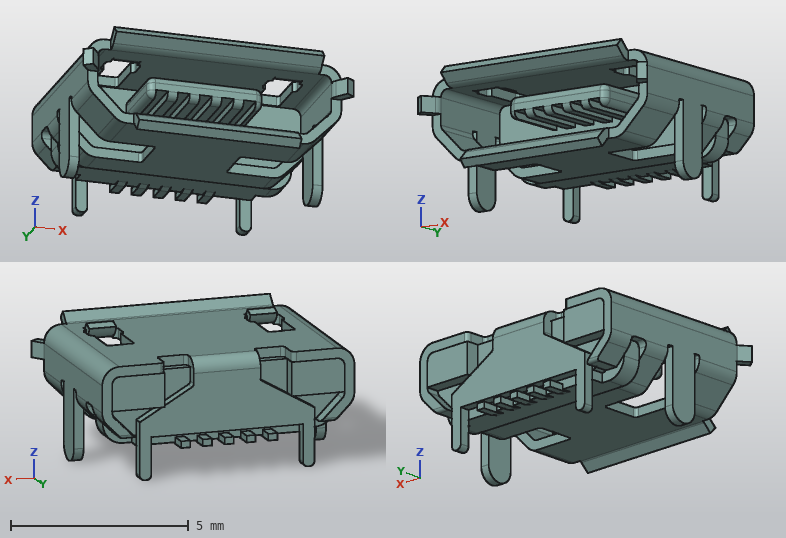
import cadquery as cq
import math


OVERSHOOT = 0.4

overall_width = 8.0
shell_width = 7.5
shell_height = 2.45
shell_depth = 5.07
sheet = 0.3
bend_radius = 0.51
inner_bend_radius = bend_radius - sheet
slant_start = 0.93

half_slant = math.radians(45 / 2)
half_width = shell_width / 2
half_cavity = half_width - sheet
ceiling = shell_height - sheet
inner_slant_start = slant_start + sheet * math.tan(half_slant)
side_wall_foot = slant_start + bend_radius * math.tan(half_slant)

lip_angle = 44.0
lip_inner_radius = 0.08
lip_length = 0.37
top_lip_width = 6.15
bottom_lip_width = 4.8
ear_angle = 36.0
ear_inner_radius = 0.02
ear_height = 0.48
ear_top = shell_height - bend_radius

window_center_x = 2.39
window_width = 0.8
window_front = 0.62
window_back = 2.72
window_corner = 0.08
relief_width = 1.02
relief_front = 0.9
relief_back = 1.52
relief_corner = 0.11
latch_angle = 72.0
latch_inner_radius = 0.26
latch_length = 0.02

leg_front = 1.7
leg_width = 0.9
leg_bottom = -0.94
leg_gap = 0.19
leg_slot_top = 1.24
leg_slot_inner_x = 1.25
leg_slot_corner = 0.06
floor_slot_corner = 0.1

leg_center_y = leg_front + leg_width / 2
leg_slot_front = leg_front - leg_gap
leg_slot_back = leg_front + leg_width + leg_gap

cover_back = 4.97
cover_thickness = 0.32
cover_bend_radius = 0.4
notch_inner_x = 0.99
notch_outer_x = 1.89
notch_front = 4.37
notch_corner = 0.1
notch_mouth_radius = 0.13
shoulder_height = 1.68
shoulder_angle = 30.0
shoulder_fillet = 0.11
peg_center_x = 2.42
peg_width = 0.34
peg_corner = 0.15

cover_front = cover_back - cover_thickness
cover_bend_start = cover_back - cover_bend_radius
cover_half_width = peg_center_x + peg_width / 2

lug_front = 3.65
lug_back = 4.26
lug_corner = 0.16
lug_bottom_radius = 0.6
rear_trim_height = 0.34
rear_trim_corner = 0.11

block_front = leg_slot_back
tongue_width = 3.41
tongue_front = 0.8
tongue_bottom = 1.22
tongue_top = 1.86
tongue_rounding = 0.21
contact_count = 5
contact_pitch = 0.65
groove_width = 0.35
tail_width = 0.27
tail_back = 5.15
tail_top = 0.15
tail_bottom = -0.05
tail_ramp_start = 4.37
tail_ramp_end = 4.58

contact_centers = [(number - (contact_count - 1) / 2) * contact_pitch for number in range(contact_count)]


def box(x_min, x_max, y_min, y_max, z_min, z_max):
    size = (x_max - x_min, y_max - y_min, z_max - z_min)
    return cq.Workplane("XY").box(*size, centered=False).translate((x_min, y_min, z_min))


def both_sides(right_part):
    """The given part together with its mirror image across the middle plane."""
    return right_part.union(right_part.mirror("YZ"))


def tube_section(half_span, floor, top, slant_z, radius, y_start, y_end):
    """Solid with the socket outline: a box whose lower corners are cut at 45 degrees."""
    slant = slant_z - floor
    points = [
        (-half_span, top),
        (half_span, top),
        (half_span, slant_z),
        (half_span - slant, floor),
        (-half_span + slant, floor),
        (-half_span, slant_z),
    ]
    body = cq.Workplane("XZ", origin=(0, y_start, 0)).polyline(points).close().extrude(y_start - y_end)
    return body.edges("|Y").fillet(radius)


def cavity(y_start, y_end):
    return tube_section(half_cavity, sheet, ceiling, inner_slant_start, inner_bend_radius, y_start, y_end)


def bent_strip(angle, inner_radius, straight, width):
    """Sheet strip that leaves the origin along local +X, curls towards +Y and ends straight.

    The concave face starts at the origin, and the width is centred on the local XY plane.
    """
    outer_radius = inner_radius + sheet

    def on_arc(radius, degrees):
        turn = math.radians(degrees)
        return (radius * math.sin(turn), inner_radius - radius * math.cos(turn))

    def run_on(point):
        turn = math.radians(angle)
        return (point[0] + straight * math.cos(turn), point[1] + straight * math.sin(turn))

    inner_end = on_arc(inner_radius, angle)
    outer_end = on_arc(outer_radius, angle)
    return (
        cq.Workplane("XY")
        .threePointArc(on_arc(inner_radius, angle / 2), inner_end)
        .lineTo(*run_on(inner_end))
        .lineTo(*run_on(outer_end))
        .lineTo(*outer_end)
        .threePointArc(on_arc(outer_radius, angle / 2), (0, -sheet))
        .close()
        .extrude(width / 2, both=True)
    )


def placed(strip, origin, run_direction, width_direction):
    """Move a bent strip so that it runs along one axis with its width along another."""
    return cq.Workplane(strip.val().located(cq.Plane(origin, run_direction, width_direction).location))


def roof_lip():
    strip = bent_strip(lip_angle, lip_inner_radius, lip_length, top_lip_width)
    return placed(strip, (0, 0, shell_height), (0, -1, 0), (-1, 0, 0))


def floor_lip():
    strip = bent_strip(lip_angle, lip_inner_radius, lip_length, bottom_lip_width)
    return placed(strip, (0, 0, 0), (0, -1, 0), (1, 0, 0))


def ears():
    turn = math.radians(ear_angle)
    reach = overall_width / 2 - half_width - ear_inner_radius * (1 - math.cos(turn))
    strip = bent_strip(ear_angle, ear_inner_radius, reach / math.sin(turn), ear_height)
    return both_sides(placed(strip, (half_width, 0, ear_top - ear_height / 2), (0, -1, 0), (0, 0, 1)))


def roof_windows():
    window = box(
        window_center_x - window_width / 2, window_center_x + window_width / 2,
        window_front, window_back, ceiling, shell_height + OVERSHOOT,
    ).edges("|Z and >Y").fillet(window_corner)
    relief = box(
        window_center_x - relief_width / 2, window_center_x + relief_width / 2,
        relief_front, relief_back, ceiling, shell_height + OVERSHOOT,
    ).edges("|Z").fillet(relief_corner)
    return both_sides(window.union(relief))


def latches():
    strip = bent_strip(latch_angle, latch_inner_radius, latch_length, window_width)
    return both_sides(placed(strip, (window_center_x, window_front, shell_height), (0, 1, 0), (1, 0, 0)))


def leg_slots():
    """Gaps either side of each leg, running on into the floor strip the leg was folded from."""
    wall_slot = box(
        half_cavity - inner_bend_radius, half_width + OVERSHOOT,
        leg_slot_front, leg_slot_back, -OVERSHOOT, leg_slot_top,
    ).edges("|X and >Z").fillet(leg_slot_corner)
    floor_slot = box(
        leg_slot_inner_x, half_width + OVERSHOOT,
        leg_slot_front, leg_slot_back, -OVERSHOOT, side_wall_foot,
    ).edges("|Z and <X").fillet(floor_slot_corner)
    return both_sides(wall_slot.union(floor_slot))


def legs():
    leg = box(
        half_cavity, half_width, leg_front, leg_front + leg_width,
        leg_bottom + leg_width / 2, leg_slot_top,
    )
    foot = (
        cq.Workplane("YZ", origin=(half_cavity, leg_center_y, leg_bottom + leg_width / 2))
        .circle(leg_width / 2)
        .extrude(sheet)
    )
    return both_sides(leg.union(foot))


def roof_notches():
    """Rear notches that free the middle of the roof, which folds down as the back cover."""
    notch = box(
        notch_inner_x, notch_outer_x, notch_front, shell_depth + OVERSHOOT,
        ceiling, shell_height + OVERSHOOT,
    ).edges("|Z and <Y").fillet(notch_corner)
    fold_space = box(
        0, notch_outer_x, cover_bend_start, shell_depth + OVERSHOOT, ceiling, shell_height + OVERSHOOT,
    )
    return both_sides(notch.union(fold_space))


def shoulder_z(x):
    """Height of the cover's sloping shoulder at a distance x from the middle plane."""
    return shoulder_height - (x - notch_inner_x) * math.tan(math.radians(shoulder_angle))


def back_cover():
    """Plate closing the back, folded down from the middle of the roof and ending in two pegs."""
    half_plate = (
        cq.Workplane("XZ", origin=(0, cover_front, 0))
        .polyline([
            (0, sheet),
            (cover_half_width, sheet),
            (cover_half_width, shoulder_z(cover_half_width)),
            (notch_inner_x, shoulder_height),
            (notch_inner_x, shell_height),
            (0, shell_height),
        ])
        .close()
        .extrude(-cover_thickness)
    )
    shoulder_corner = cq.selectors.NearestToPointSelector(
        (notch_inner_x, cover_front + cover_thickness / 2, shoulder_height)
    )
    half_plate = half_plate.edges(shoulder_corner).fillet(shoulder_fillet)
    roof_strip = box(0, notch_inner_x, notch_front + notch_corner, cover_back, ceiling, shell_height)
    peg = box(
        peg_center_x - peg_width / 2, peg_center_x + peg_width / 2,
        cover_front, cover_back, leg_bottom, sheet,
    ).edges("|Y and <Z").fillet(peg_corner)
    cover = both_sides(half_plate.union(roof_strip).union(peg)).clean()
    return cover.edges("|X and >Y and >Z").fillet(cover_bend_radius)


def lug_window():
    """Opening across the lower shell that the insulator's side lugs fill."""
    window = box(-half_width, half_width, lug_front, lug_back, -OVERSHOOT, side_wall_foot)
    return window.edges("|X and >Z").fillet(lug_corner)


def rear_trim():
    """Removes the floor behind the lugs and rounds the lower rear corner of the side walls."""
    end = shell_depth + OVERSHOOT
    arc_dip = rear_trim_corner * (1 - math.sqrt(0.5))
    return (
        cq.Workplane("YZ", origin=(-half_width, 0, 0))
        .moveTo(lug_back, -OVERSHOOT)
        .lineTo(lug_back, rear_trim_height)
        .lineTo(shell_depth - rear_trim_corner, rear_trim_height)
        .threePointArc(
            (shell_depth - arc_dip, rear_trim_height + arc_dip),
            (shell_depth, rear_trim_height + rear_trim_corner),
        )
        .lineTo(end, rear_trim_height + rear_trim_corner)
        .lineTo(end, -OVERSHOOT)
        .close()
        .extrude(shell_width)
    )


def make_shell():
    tube = tube_section(half_width, 0, shell_height, slant_start, bend_radius, 0, shell_depth)
    tube = tube.cut(cavity(0, shell_depth)).cut(roof_notches())
    notch_mouth = cq.selectors.BoxSelector(
        (-half_cavity, notch_front + notch_corner, ceiling),
        (half_cavity, shell_depth + OVERSHOOT, shell_height),
    )
    tube = tube.edges(notch_mouth).edges("|Z and >Y").fillet(notch_mouth_radius)
    tube = tube.cut(lug_window()).cut(rear_trim()).cut(leg_slots()).cut(roof_windows())
    for piece in (roof_lip(), floor_lip(), ears(), latches(), legs(), back_cover()):
        tube = tube.union(piece)
    return tube


def tongue():
    blade = box(
        -tongue_width / 2, tongue_width / 2, tongue_front, block_front, tongue_bottom, tongue_top,
    ).edges("|Y or <Y").fillet(tongue_rounding)
    for center in contact_centers:
        blade = blade.cut(box(
            center - groove_width / 2, center + groove_width / 2,
            tongue_front, block_front, tongue_bottom, tongue_bottom + tongue_rounding,
        ))
    return blade


def lugs():
    slab = box(-half_cavity, half_cavity, lug_front, lug_back, 0, shell_height)
    return slab.edges("|Y and <Z").fillet(lug_bottom_radius).intersect(lug_window())


def contact_tail(center):
    """Solder tail of one contact, ramping out of the insulator's floor."""
    return (
        cq.Workplane("YZ", origin=(center, 0, 0))
        .polyline([
            (tail_ramp_start, 0),
            (tail_ramp_end, tail_bottom),
            (tail_back, tail_bottom),
            (tail_back, tail_top),
            (tail_ramp_start, tail_top),
        ])
        .close()
        .extrude(tail_width / 2, both=True)
    )


def rear_pillars():
    """Upper corners of the insulator that reach the back of the shell beside the cover."""
    beside_cover = box(
        notch_outer_x, half_cavity, cover_front, shell_depth, shoulder_z(notch_outer_x), ceiling,
    )
    return both_sides(cavity(cover_front, shell_depth).intersect(beside_cover))


def make_insulator():
    block = cavity(block_front, cover_front)
    foot = box(-cover_half_width, cover_half_width, lug_back, cover_front, 0, rear_trim_height)
    body = block.union(rear_pillars()).union(foot).union(lugs()).union(tongue())
    for center in contact_centers:
        body = body.union(contact_tail(center))
    return body


shell = make_shell()
insulator = make_insulator()
result = cq.Compound.makeCompound([shell.solids().val(), insulator.solids().val()])